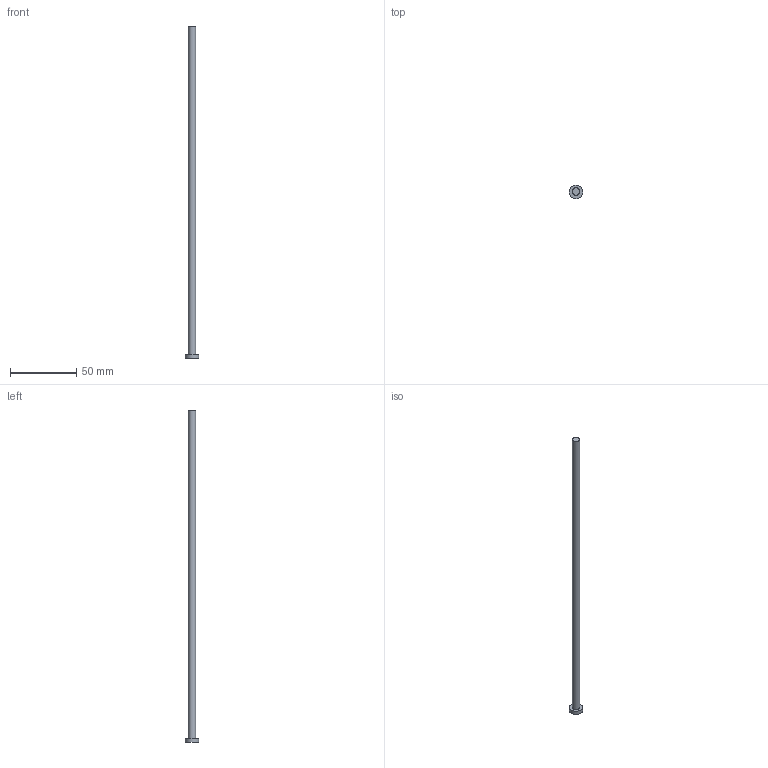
import cadquery as cq

total_length = 250.0
head_diameter = 10.0
head_thickness = 3.0
shaft_diameter = 5.5

head = cq.Workplane("XY").circle(head_diameter / 2).extrude(head_thickness)
shaft = cq.Workplane("XY").circle(shaft_diameter / 2).extrude(total_length)

result = head.union(shaft)